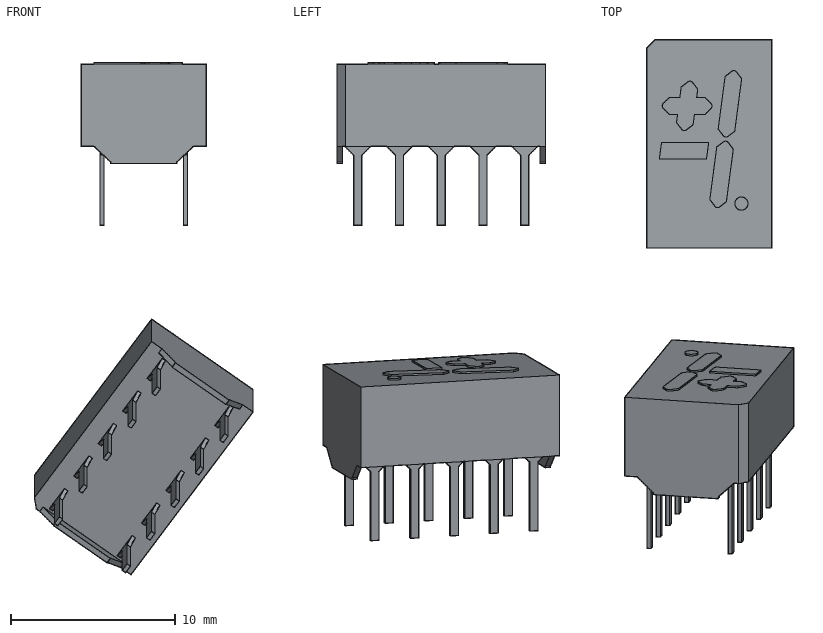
import cadquery as cq
import math

body_width = 7.62
body_length = 12.7
total_height = 9.9

segment_thickness = 0.1
body_height = 5.0
body_top = total_height - segment_thickness
body_bottom = body_top - body_height
key_chamfer = 0.51

foot_thickness = 0.34
foot_height = 1.05
foot_lip = 0.1
foot_top_width = 6.07
foot_bottom_width = 4.04

pins_per_row = 5
pin_pitch = 2.54
row_spacing = 5.08
pin_thickness = 0.25
pin_width = 0.51
shoulder_half_width = 0.79

segment_width = 1.02
tip_radius = 0.2
slant = 7.5
long_straight = 3.23
short_straight = 2.18
plus_center = (-1.35, 2.31)
upper_center = (1.26, 2.44)
lower_center = (0.75, -1.85)
minus_center = (-1.54, -0.42)
minus_length = 2.87
minus_height = 0.98
dot_center = (1.95, -3.63)
dot_diameter = 0.8


def make_housing():
    """Rectangular block with one chamfered corner marking the first pin."""
    block = cq.Workplane("XY").box(body_width, body_length, body_height, centered=(True, True, False))
    block = block.translate((0, 0, body_bottom))
    return block.edges("|Z and <X and >Y").chamfer(key_chamfer)


def make_foot(front_y):
    """Tapered plate with a short vertical lip, reaching from front_y toward +Y."""
    foot_bottom = body_bottom - foot_height
    half_top = foot_top_width / 2
    half_bottom = foot_bottom_width / 2
    outline = [
        (-half_top, body_bottom),
        (-half_bottom, foot_bottom + foot_lip),
        (-half_bottom, foot_bottom),
        (half_bottom, foot_bottom),
        (half_bottom, foot_bottom + foot_lip),
        (half_top, body_bottom),
    ]
    plate = cq.Workplane("XZ").polyline(outline).close().extrude(-foot_thickness)
    return plate.translate((0, front_y, 0))


def make_pin(x, y):
    """Flat pin with a triangular shoulder of the same thickness below the housing."""
    half_width = pin_width / 2
    shoulder_end = body_bottom - shoulder_half_width + half_width
    outline = [
        (-shoulder_half_width, body_bottom),
        (-half_width, shoulder_end),
        (-half_width, 0),
        (half_width, 0),
        (half_width, shoulder_end),
        (shoulder_half_width, body_bottom),
    ]
    blade = cq.Workplane("YZ").polyline(outline).close().extrude(pin_thickness / 2, both=True)
    return blade.translate((x, y, 0))


def make_bar(center, straight_length, angle):
    """Raised bar with rounded 45-degree points, turned by angle from the X axis."""
    half_width = segment_width / 2
    half_straight = straight_length / 2
    half_length = half_straight + half_width
    outline = [
        (-half_length, 0),
        (-half_straight, -half_width),
        (half_straight, -half_width),
        (half_length, 0),
        (half_straight, half_width),
        (-half_straight, half_width),
    ]
    bar = cq.Workplane("XY").polyline(outline).close().extrude(segment_thickness)
    bar = bar.edges("|Z and (<X or >X)").fillet(tip_radius)
    bar = bar.rotate((0, 0, 0), (0, 0, 1), angle)
    return bar.translate((*center, body_top))


def make_minus():
    """Raised parallelogram whose short sides lean with the slanted bars."""
    half_length = minus_length / 2
    half_height = minus_height / 2
    lean = half_height * math.tan(math.radians(slant))
    outline = [
        (-half_length - lean, -half_height),
        (half_length - lean, -half_height),
        (half_length + lean, half_height),
        (-half_length + lean, half_height),
    ]
    plate = cq.Workplane("XY").polyline(outline).close().extrude(segment_thickness)
    return plate.translate((*minus_center, body_top))


def make_dot():
    """Raised round decimal point."""
    disc = cq.Workplane("XY").circle(dot_diameter / 2).extrude(segment_thickness)
    return disc.translate((*dot_center, body_top))


result = make_housing()

for front_y in (-body_length / 2, body_length / 2 - foot_thickness):
    result = result.union(make_foot(front_y))

for x in (-row_spacing / 2, row_spacing / 2):
    for index in range(pins_per_row):
        y = (index - (pins_per_row - 1) / 2) * pin_pitch
        result = result.union(make_pin(x, y))

upright = 90 - slant
result = result.union(make_bar(plus_center, short_straight, 0))
result = result.union(make_bar(plus_center, short_straight, upright))
result = result.union(make_bar(upper_center, long_straight, upright))
result = result.union(make_bar(lower_center, long_straight, upright))
result = result.union(make_minus())
result = result.union(make_dot())